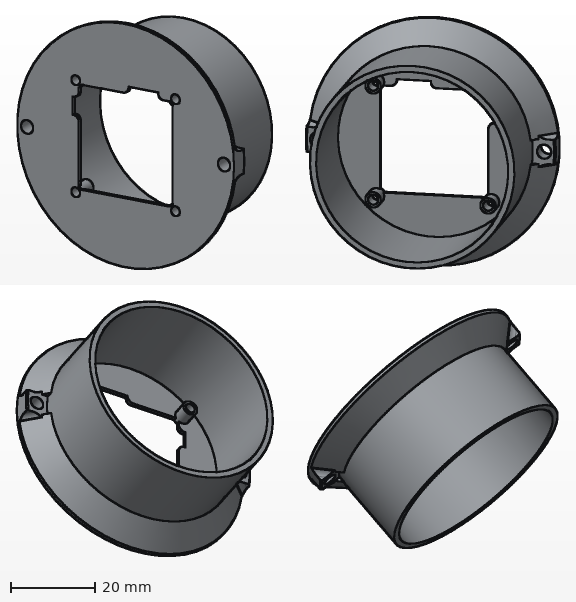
import cadquery as cq

rim_radius = 30.4
trim_margin = 0.6
tube_radius = 24.9
bore_radius = 23.35
depth = 26.0
plate_thickness = 1.0
cone_end = 6.6

window_half = 13.15
notch_outer = 14.85
notch_round = 1.45
top_notch_start, top_notch_end = 0.8, 9.1
side_notch_start, side_notch_end = 5.2, 9.7

boss_offset = 14.0
boss_radius = 1.9
boss_length = 5.0
boss_hole_radius = 1.2

lug_half_width = 3.05
lug_foot_half_width = 3.85
lug_flare_height = 1.6
lug_top = 5.0
lug_edge_bevel = 0.35
lug_hole_offset = 27.6
lug_hole_radius = 1.7


def cylinder(radius, start, end, x=0, z=0):
    """Cylinder along Y from start to end."""
    axis_start = cq.Vector(x, start, z)
    return cq.Workplane(cq.Solid.makeCylinder(radius, end - start, axis_start, cq.Vector(0, 1, 0)))


def block(x_range, y_range, z_range):
    """Box given by its lower and upper limit along each axis."""
    low = [limits[0] for limits in (x_range, y_range, z_range)]
    size = [limits[1] - limits[0] for limits in (x_range, y_range, z_range)]
    return cq.Workplane().box(*size, centered=False).translate(tuple(low))


def make_flange():
    """Front plate with the cone behind it, oversize until trimmed to the rim."""
    cone_slope = (cone_end - plate_thickness) / (rim_radius - tube_radius)
    profile = [
        (0, 0),
        (rim_radius + trim_margin, 0),
        (rim_radius + trim_margin, plate_thickness - trim_margin * cone_slope),
        (tube_radius, cone_end),
        (0, cone_end),
    ]
    return cq.Workplane("XY").polyline(profile).close().revolve(360, (0, 0, 0), (0, 1, 0))


def make_lug(side):
    """Lug whose sides flare out in a concave curve where they meet the cone, oversize at the rim."""
    flare_width = lug_foot_half_width - lug_half_width
    flare_radius = (lug_flare_height**2 + flare_width**2) / (2 * flare_width)
    cone_width = rim_radius - tube_radius
    cone_height = cone_end - plate_thickness
    section_plane = cq.Plane(
        origin=(rim_radius + cone_width, plate_thickness - cone_height, 0),
        xDir=(0, 0, 1),
        normal=(-cone_width, cone_height, 0),
    )
    lug = (
        cq.Workplane(section_plane)
        .moveTo(-lug_foot_half_width, 0)
        .radiusArc((-lug_half_width, lug_flare_height), -flare_radius)
        .lineTo(-lug_half_width, rim_radius)
        .lineTo(lug_half_width, rim_radius)
        .lineTo(lug_half_width, lug_flare_height)
        .radiusArc((lug_foot_half_width, 0), -flare_radius)
        .lineTo(lug_foot_half_width, -plate_thickness)
        .lineTo(-lug_foot_half_width, -plate_thickness)
        .close()
        .extrude(rim_radius)
    )
    outer = rim_radius + trim_margin
    foot_span = (-lug_foot_half_width - trim_margin, lug_foot_half_width + trim_margin)
    lug = lug.intersect(block((bore_radius, outer), (plate_thickness / 2, lug_top), foot_span))
    return lug if side > 0 else lug.mirror("YZ")


def make_rim_envelope():
    """Round limit of the flange: the rim, a bevel on top of the lugs, and the cone inside it."""
    bevel_radius = rim_radius - lug_edge_bevel
    profile = [
        (0, 0),
        (rim_radius, 0),
        (rim_radius, lug_top - lug_edge_bevel),
        (bevel_radius, lug_top),
        (bevel_radius, cone_end),
        (0, cone_end),
    ]
    return cq.Workplane("XY").polyline(profile).close().revolve(360, (0, 0, 0), (0, 1, 0))


def make_relief(side):
    """Screw head clearance cut through the cone above a lug, down to the tube wall."""
    x_range = (0, rim_radius) if side > 0 else (-rim_radius, 0)
    relief = block(x_range, (lug_top, cone_end), (-lug_half_width, lug_half_width))
    return relief.cut(cylinder(tube_radius, 0, depth))


def make_notch(start, end):
    """Notch above the window whose mouth flares out with rounded corners."""
    round_top = window_half + notch_round
    return (
        cq.Workplane("XZ")
        .moveTo(start - notch_round, 0)
        .lineTo(start - notch_round, window_half)
        .radiusArc((start, round_top), -notch_round)
        .lineTo(start, notch_outer)
        .lineTo(end, notch_outer)
        .lineTo(end, round_top)
        .radiusArc((end + notch_round, window_half), -notch_round)
        .lineTo(end + notch_round, 0)
        .close()
        .extrude(-plate_thickness)
    )


def make_window():
    span = (-window_half, window_half)
    window = block(span, (0, plate_thickness), span)
    top_notch = make_notch(top_notch_start, top_notch_end)
    side_notch = make_notch(side_notch_start, side_notch_end)
    side_notch = side_notch.rotate((0, 0, 0), (0, 1, 0), -90)
    return window.union(top_notch).union(side_notch)


body = make_flange()
for side in (-1, 1):
    body = body.union(make_lug(side)).cut(make_relief(side))
body = body.intersect(make_rim_envelope())

body = body.union(cylinder(tube_radius, 0, depth))
body = body.cut(cylinder(bore_radius, plate_thickness, depth)).cut(make_window())

for x in (-boss_offset, boss_offset):
    for z in (-boss_offset, boss_offset):
        body = body.union(cylinder(boss_radius, 0, boss_length, x, z))
        body = body.cut(cylinder(boss_hole_radius, 0, boss_length, x, z))

for x in (-lug_hole_offset, lug_hole_offset):
    body = body.cut(cylinder(lug_hole_radius, 0, lug_top, x))

result = body